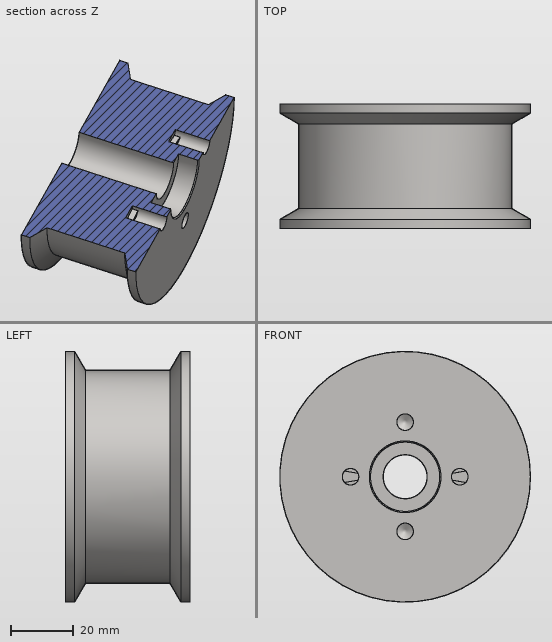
import cadquery as cq
import math

width = 40.0
flange_diameter = 80.4
drum_diameter = 68.4
rim_thickness = 3.0
flank_angle = 30.0

bore_diameter = 14.0
seat_diameter = 22.2
seat_depth = 7.0
seat_chamfer = 0.4

hole_diameter = 5.3
hole_circle_radius = 17.5
hole_depth = 10.0
drill_point_angle = 118.0

wedge_depth = 2.0
wedge_inner_width = 2.1
wedge_side_angle = 10.0

front_y = -width / 2


def wheel_body():
    """Drum with two flanges whose inner flanks are conical."""
    flange_radius = flange_diameter / 2
    drum_radius = drum_diameter / 2
    rim_y = width / 2 - rim_thickness
    drum_y = rim_y - (flange_radius - drum_radius) * math.tan(math.radians(flank_angle))
    profile = [
        (0, -width / 2),
        (flange_radius, -width / 2),
        (flange_radius, -rim_y),
        (drum_radius, -drum_y),
        (drum_radius, drum_y),
        (flange_radius, rim_y),
        (flange_radius, width / 2),
        (0, width / 2),
    ]
    return cq.Workplane("XY").polyline(profile).close().revolve(360, (0, 0), (0, 1))


def bore_cutter():
    """Through bore, bearing seat and the chamfer at the seat mouth."""
    bore_radius = bore_diameter / 2
    seat_radius = seat_diameter / 2
    profile = [
        (0, front_y),
        (seat_radius + seat_chamfer, front_y),
        (seat_radius, front_y + seat_chamfer),
        (seat_radius, front_y + seat_depth),
        (bore_radius, front_y + seat_depth),
        (bore_radius, width / 2),
        (0, width / 2),
    ]
    return cq.Workplane("XY").polyline(profile).close().revolve(360, (0, 0), (0, 1))


def cylinder_cutter(start_depth, depth):
    """Cylinder on the +X hole axis, starting at a depth below the front face."""
    plane = cq.Workplane("XZ", origin=(hole_circle_radius, front_y + start_depth, 0))
    return plane.circle(hole_diameter / 2).extrude(-depth)


def drilled_hole_cutter():
    """Blind hole on the +X side with a conical drill point."""
    radius = hole_diameter / 2
    point_length = radius / math.tan(math.radians(drill_point_angle / 2))
    profile = [
        (0, front_y),
        (radius, front_y),
        (radius, front_y + hole_depth),
        (0, front_y + hole_depth + point_length),
    ]
    cutter = cq.Workplane("XY").polyline(profile).close().revolve(360, (0, 0), (0, 1))
    return cutter.translate((hole_circle_radius, 0, 0))


def stepped_hole_cutter():
    """Flat-bottomed hole on the +X side with a wedge recess that widens outward."""
    inner_x = hole_circle_radius - hole_diameter / 2
    outer_x = hole_circle_radius + hole_diameter / 2
    inner_half = wedge_inner_width / 2
    outer_half = inner_half + hole_diameter * math.tan(math.radians(wedge_side_angle))
    outline = [
        (inner_x, -inner_half),
        (outer_x, -outer_half),
        (outer_x, outer_half),
        (inner_x, inner_half),
    ]
    wedge = (
        cq.Workplane("XZ", origin=(0, front_y + hole_depth, 0))
        .polyline(outline)
        .close()
        .extrude(-wedge_depth)
        .intersect(cylinder_cutter(hole_depth, wedge_depth))
    )
    return cylinder_cutter(0, hole_depth).union(wedge)


def turned(cutter, angle):
    """Cutter turned about the wheel axis."""
    return cutter.rotate((0, 0, 0), (0, 1, 0), angle)


result = wheel_body().cut(bore_cutter())
for angle in (0, 180):
    result = result.cut(turned(stepped_hole_cutter(), angle))
for angle in (90, 270):
    result = result.cut(turned(drilled_hole_cutter(), angle))